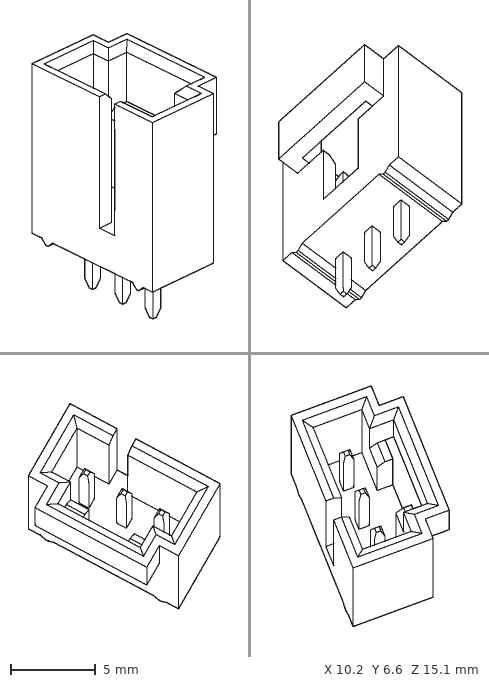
import cadquery as cq

body_length = 10.15
body_width = 5.08
body_height = 11.44
total_width = 6.6
total_height = 15.11

rim = 0.5
end_rim = 0.53
lead_in = 0.5
cavity_depth = 8.87

hood_length = 7.55
hood_height = 3.82
back_notch_length = 3.05

slot_left = 0.62
slot_length = 1.27

pin_count = 3
pin_pitch = 2.54
pin_size = 0.66
pin_tip_size = 0.29
pin_taper = 0.65
pin_reach = 6.05

foot_offset = 3.82
foot_base = 0.9
foot_tip = 0.18
foot_height = 0.36

wall = rim + lead_in
floor_z = body_height - cavity_depth
ledge_z = body_height - hood_height
front_y = -body_width / 2
back_y = body_width / 2
hood_y = front_y + total_width
cavity_length = body_length - 2 * (end_rim + lead_in)
hood_cavity_length = hood_length - 2 * wall


def block(length, y_start, y_end, z_start, z_end, x_centre=0):
    """Box centred on x_centre and spanning the given Y and Z ranges."""
    return (
        cq.Workplane("XY")
        .box(length, y_end - y_start, z_end - z_start, centered=(True, False, False))
        .translate((x_centre, y_start, z_start))
    )


def flared_mouth(length, y_start, y_end, top_z):
    """Lead-in that widens a rectangular opening on all sides up to top_z."""
    return (
        cq.Workplane("XY")
        .workplane(offset=top_z - lead_in)
        .center(0, (y_start + y_end) / 2)
        .rect(length, y_end - y_start)
        .workplane(offset=lead_in)
        .rect(length + 2 * lead_in, y_end - y_start + 2 * lead_in)
        .loft(ruled=True)
    )


def housing():
    """Open-topped shell with a shallow hood along the back of the mouth."""
    shell = block(body_length, front_y, back_y, 0, body_height)
    shell = shell.union(block(hood_length, back_y, hood_y, ledge_z, body_height))

    cavity_front = front_y + wall
    cavity_back = back_y - wall
    shell = shell.cut(block(cavity_length, cavity_front, cavity_back, floor_z, body_height))
    shell = shell.cut(flared_mouth(cavity_length, cavity_front, cavity_back, body_height))

    hood_back = hood_y - wall
    shell = shell.cut(block(hood_cavity_length, 0, hood_back, ledge_z, body_height))
    shell = shell.cut(flared_mouth(hood_cavity_length, 0, hood_back, body_height))

    ledge_lead_in = (
        cq.Workplane("YZ")
        .moveTo(cavity_back, ledge_z - lead_in)
        .lineTo(cavity_back + lead_in, ledge_z)
        .lineTo(cavity_back, ledge_z)
        .close()
        .extrude(hood_cavity_length / 2, both=True)
    )
    shell = shell.cut(ledge_lead_in)

    shell = shell.cut(block(back_notch_length, 0, back_y, floor_z, ledge_z))
    slot_centre = slot_left + slot_length / 2
    return shell.cut(block(slot_length, front_y, 0, floor_z, body_height, slot_centre))


def foot(x_centre):
    """Tapered standoff ridge running the full width of the underside."""
    return (
        cq.Workplane("XZ", origin=(x_centre, back_y, 0))
        .moveTo(-foot_base / 2, 0)
        .lineTo(-foot_tip / 2, -foot_height)
        .lineTo(foot_tip / 2, -foot_height)
        .lineTo(foot_base / 2, 0)
        .close()
        .extrude(body_width)
    )


def pin(x_centre):
    """Square pin through the floor, tapered to a blunt point at both ends."""
    top_z = floor_z + pin_reach
    bottom_z = body_height - total_height
    shank_length = top_z - bottom_z - 2 * pin_taper
    shank = cq.Workplane("XY", origin=(x_centre, 0, bottom_z + pin_taper)).rect(pin_size, pin_size)
    post = shank.extrude(shank_length)
    for end_face in (">Z", "<Z"):
        tip = (
            post.faces(end_face)
            .workplane()
            .rect(pin_size, pin_size)
            .workplane(offset=pin_taper)
            .rect(pin_tip_size, pin_tip_size)
            .loft(ruled=True, combine=False)
        )
        post = post.union(tip)
    return post


result = housing()
for side in (-1, 1):
    result = result.union(foot(side * foot_offset))
for index in range(pin_count):
    result = result.union(pin((index - (pin_count - 1) / 2) * pin_pitch))